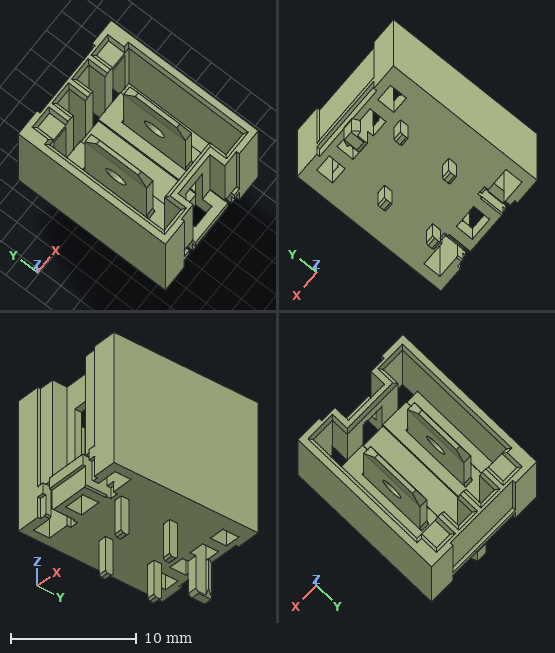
import cadquery as cq


HOUSING_X = 12.0
HOUSING_Y = 14.9
HOUSING_Z = 12.9
FRONT_Y = -HOUSING_Y / 2
BACK_Y = HOUSING_Y / 2
LEAD_IN = 0.3

CAVITY_X = 10.2
CAVITY_FRONT_Y = -6.6
CAVITY_BACK_Y = 4.95

POCKET_PITCH = 2.54
POCKET_X = 1.55
POCKET_COUNT = 4
POCKET_BACK_Y = 6.6
CAP_THICKNESS = 0.7

FLOOR_Z = 2.8
LAND_Z = 3.2
FLOOR_FRONT_Y = -4.95
LAND_SPANS = ((-3.8, -1.15), (1.15, 4.0))

BAY_WALL_X = 5.8
BAY_X = 4.1
BAY_BACK_Y = -5.65
BAY_FLOOR_Z = 3.05
WINDOW_X = 2.15
WINDOW_TOP_Z = 10.15
WINDOW_FRONT_Y = CAVITY_FRONT_Y

RECESS_X = 7.1
RECESS_DEPTH = 0.3
BAND_BOTTOM_Z = 2.0

BLADE_COUNT = 2
BLADE_PITCH = 5.0
BLADE_THICKNESS = 0.8
BLADE_Y = 6.25
BLADE_SHOULDER_Z = 11.4
BLADE_TOP_Z = 12.4
BLADE_TIP_THICKNESS = 0.4
BLADE_TIP_Y = 4.2
BLADE_FOOT_RUN = 0.2
BLADE_FOOT_RISE = 0.55
BLADE_HOLE_D = 2.0
BLADE_HOLE_Z = 8.1

PIN_LENGTH = 3.54
PIN_PITCH = 2.5
PIN_COUNT = 4
PIN_WIDTH = 0.8
PIN_CHAMFER = 0.2

SLOT_CHAMFER = 0.15
SLOT_UNDERCUT_Z = 1.05
SLOT_UNDERCUT = 0.4

PEG_HALF_X = 0.82
PEG_RIB_HALF_X = (POCKET_PITCH - POCKET_X) / 2
PEG_FRONT_Y = 5.55
PEG_SHOULDER_Y = 6.57
PEG_BACK_Y = 7.2
PEG_TIP_HALF_X = 0.42
PEG_TIP_RISE = 0.55
PEG_FRONT_CHAMFER = 0.33


def box(x0, x1, y0, y1, z0, z1):
    """Axis-aligned block between opposite limits."""
    return cq.Workplane("XY").box(x1 - x0, y1 - y0, z1 - z0, centered=False).translate((x0, y0, z0))


def wide_box(width, y0, y1, z0, z1):
    """Block centred on X = 0."""
    return box(-width / 2, width / 2, y0, y1, z0, z1)


def frustum(x0, x1, y0, y1, z0, z1, grow_x, grow_y):
    """Rectangle at z0 widened by grow_x and grow_y on each side at z1 (negative narrows it)."""
    center = ((x0 + x1) / 2, (y0 + y1) / 2, z0)
    return (
        cq.Workplane("XY", origin=center)
        .rect(x1 - x0, y1 - y0)
        .workplane(offset=z1 - z0)
        .rect(x1 - x0 + 2 * grow_x, y1 - y0 + 2 * grow_y)
        .loft(ruled=True)
    )


def flared_well(x0, x1, y0, y1, z0):
    """Well open at the top of the housing, with the lead-in chamfer around its mouth."""
    mouth_z = HOUSING_Z - LEAD_IN
    shaft = box(x0, x1, y0, y1, z0, mouth_z)
    return shaft.union(frustum(x0, x1, y0, y1, mouth_z, HOUSING_Z, LEAD_IN, LEAD_IN))


def row(count, pitch):
    """Centred, evenly spaced positions."""
    return [(i - (count - 1) / 2) * pitch for i in range(count)]


def make_cavity():
    half = CAVITY_X / 2
    return flared_well(-half, half, CAVITY_FRONT_Y, CAVITY_BACK_Y, 0)


def make_dividers():
    """Block behind the cavity that leaves full-height dividers once the pockets are cut from it."""
    width = (POCKET_COUNT - 1) * POCKET_PITCH
    return wide_box(width, CAVITY_BACK_Y, POCKET_BACK_Y, 0, HOUSING_Z)


def make_pockets():
    """Keying pockets open to the cavity; the outermost two are capped under their lead-in."""
    mouth_z = HOUSING_Z - LEAD_IN
    pockets = cq.Workplane("XY")
    caps = cq.Workplane("XY")
    for number, x in enumerate(row(POCKET_COUNT, POCKET_PITCH)):
        x0 = x - POCKET_X / 2
        x1 = x + POCKET_X / 2
        pocket_front_y = CAVITY_BACK_Y - LEAD_IN
        pockets = pockets.union(flared_well(x0, x1, pocket_front_y, POCKET_BACK_Y, 0))
        if number in (0, POCKET_COUNT - 1):
            caps = caps.union(box(x0, x1, CAVITY_BACK_Y, POCKET_BACK_Y, mouth_z - CAP_THICKNESS, mouth_z))
    return pockets, caps


def make_bay_wall():
    """Solid block for the latch bay, narrowed by the lead-in at the top of the cavity."""
    half = BAY_WALL_X / 2
    mouth_z = HOUSING_Z - LEAD_IN
    lower = wide_box(BAY_WALL_X, FRONT_Y, FLOOR_FRONT_Y, 0, mouth_z)
    upper = frustum(-half, half, FRONT_Y, FLOOR_FRONT_Y, mouth_z, HOUSING_Z, -LEAD_IN, -LEAD_IN)
    return lower.union(upper)


def make_floor():
    half = CAVITY_X / 2
    floor = box(-half, half, FLOOR_FRONT_Y, CAVITY_BACK_Y, 0, FLOOR_Z)
    for x0, x1 in LAND_SPANS:
        floor = floor.union(box(x0, x1, FLOOR_FRONT_Y, CAVITY_BACK_Y, 0, LAND_Z))
    return floor


def make_bay_cuts():
    """Space inside the latch bay and the window through its back wall and floor."""
    bay = wide_box(BAY_X, FRONT_Y, BAY_BACK_Y, BAY_FLOOR_Z, HOUSING_Z)
    window = wide_box(WINDOW_X, WINDOW_FRONT_Y, FLOOR_FRONT_Y, 0, WINDOW_TOP_Z)
    return bay.union(window)


def make_recesses():
    recesses = cq.Workplane("XY")
    for y0 in (FRONT_Y, BACK_Y - RECESS_DEPTH):
        for z0, z1 in ((0, BAND_BOTTOM_Z), (BAY_FLOOR_Z, HOUSING_Z)):
            recesses = recesses.union(wide_box(RECESS_X, y0, y0 + RECESS_DEPTH, z0, z1))
    return recesses


def make_slot(x):
    """Relief slot from the underside, flared at its bottom edges."""
    half = BLADE_THICKNESS / 2
    flare = half + SLOT_CHAMFER
    outline = [
        (x - flare, 0),
        (x + flare, 0),
        (x + half, SLOT_CHAMFER),
        (x + half, BAY_FLOOR_Z),
        (x - half, BAY_FLOOR_Z),
        (x - half, SLOT_CHAMFER),
    ]
    length = FLOOR_FRONT_Y - FRONT_Y
    slot = cq.Workplane("XZ", origin=(0, FRONT_Y, 0)).polyline(outline).close().extrude(-length)
    undercut_back_y = FLOOR_FRONT_Y + SLOT_UNDERCUT
    return slot.union(box(x - half, x + half, FLOOR_FRONT_Y, undercut_back_y, 0, SLOT_UNDERCUT_Z))


def make_pin(x, y):
    half = PIN_WIDTH / 2
    tip = half - PIN_CHAMFER
    outline = [
        (y - half, FLOOR_Z),
        (y - half, PIN_CHAMFER - PIN_LENGTH),
        (y - tip, -PIN_LENGTH),
        (y + tip, -PIN_LENGTH),
        (y + half, PIN_CHAMFER - PIN_LENGTH),
        (y + half, FLOOR_Z),
    ]
    start_x = x - BLADE_THICKNESS / 2
    return cq.Workplane("YZ", origin=(start_x, 0, 0)).polyline(outline).close().extrude(BLADE_THICKNESS)


def make_blade(x, pin_positions):
    """Upright blade with a sloped foot, a tapered tip, a cross hole and pins at the given Y positions."""
    half_t = BLADE_THICKNESS / 2
    half_y = BLADE_Y / 2
    foot_y = half_y + BLADE_FOOT_RUN
    foot_top_z = LAND_Z + BLADE_FOOT_RISE
    outline = [
        (-foot_y, FLOOR_Z),
        (-foot_y, LAND_Z),
        (-half_y, foot_top_z),
        (-half_y, BLADE_SHOULDER_Z),
        (half_y, BLADE_SHOULDER_Z),
        (half_y, foot_top_z),
        (foot_y, LAND_Z),
        (foot_y, FLOOR_Z),
    ]
    plate = cq.Workplane("YZ", origin=(x - half_t, 0, 0)).polyline(outline).close().extrude(BLADE_THICKNESS)
    narrow_x = (BLADE_TIP_THICKNESS - BLADE_THICKNESS) / 2
    narrow_y = (BLADE_TIP_Y - BLADE_Y) / 2
    tip = frustum(x - half_t, x + half_t, -half_y, half_y, BLADE_SHOULDER_Z, BLADE_TOP_Z, narrow_x, narrow_y)
    hole = (
        cq.Workplane("YZ", origin=(x - half_t, 0, BLADE_HOLE_Z))
        .circle(BLADE_HOLE_D / 2)
        .extrude(BLADE_THICKNESS)
    )
    blade = plate.union(tip).cut(hole)
    for y in pin_positions:
        blade = blade.union(make_pin(x, y))
    return blade


def make_peg():
    """Locating peg: a rib under the middle divider with a dovetail behind it, tapered at the tip."""
    plan = [
        (-PEG_RIB_HALF_X, PEG_FRONT_Y),
        (PEG_RIB_HALF_X, PEG_FRONT_Y),
        (PEG_RIB_HALF_X, PEG_SHOULDER_Y),
        (PEG_HALF_X, PEG_SHOULDER_Y),
        (PEG_RIB_HALF_X, PEG_BACK_Y),
        (-PEG_RIB_HALF_X, PEG_BACK_Y),
        (-PEG_HALF_X, PEG_SHOULDER_Y),
        (-PEG_RIB_HALF_X, PEG_SHOULDER_Y),
    ]
    peg = cq.Workplane("XY", origin=(0, 0, -PIN_LENGTH)).polyline(plan).close().extrude(PIN_LENGTH)
    peg = peg.faces("<Y").edges("<Z").chamfer(PEG_FRONT_CHAMFER)
    for side in (-1, 1):
        corner = [
            (side * PEG_TIP_HALF_X, -PIN_LENGTH),
            (side * PEG_HALF_X, PEG_TIP_RISE - PIN_LENGTH),
            (side * PEG_HALF_X, -PIN_LENGTH),
        ]
        taper = cq.Workplane("XZ").polyline(corner).close().extrude(-BACK_Y)
        peg = peg.cut(taper)
    return peg


pocket_wells, pocket_caps = make_pockets()
blade_positions = row(BLADE_COUNT, BLADE_PITCH)
pin_rows = row(PIN_COUNT, PIN_PITCH)

housing = wide_box(HOUSING_X, FRONT_Y, BACK_Y, 0, HOUSING_Z)
housing = housing.cut(make_cavity()).union(make_dividers())
housing = housing.cut(pocket_wells).union(pocket_caps)
housing = housing.union(make_bay_wall()).union(make_floor())
housing = housing.cut(make_bay_cuts()).cut(make_recesses())
for blade_x in blade_positions:
    housing = housing.cut(make_slot(blade_x))

result = housing.union(make_peg())
for number, blade_x in enumerate(blade_positions):
    first_row = BLADE_COUNT - 1 - number
    result = result.union(make_blade(blade_x, pin_rows[first_row::BLADE_COUNT]))